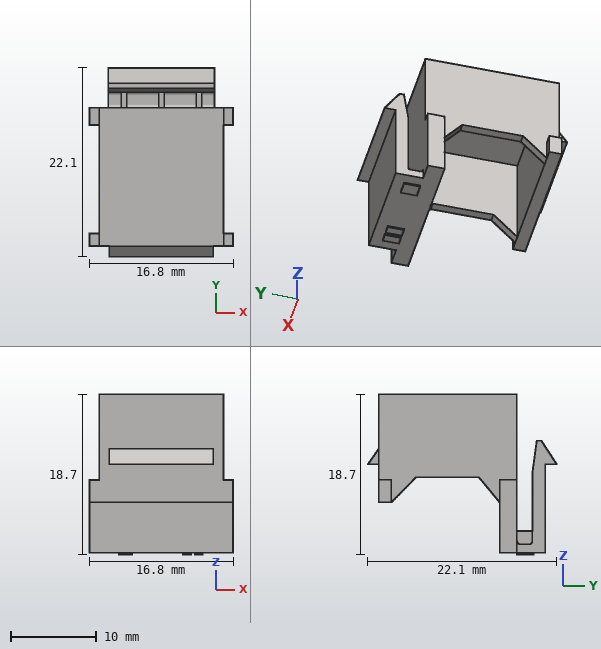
import cadquery as cq

body_width = 14.53
body_depth = 16.15
body_top = 18.52
overall_width = 16.75
shoulder_height = 8.51

front_leg_depth = 1.5
front_leg_bottom = 5.89
back_leg_depth = 2.03
arch_height = 8.82
arch_front = 4.39
arch_back = 11.69

side_wall = 1.0
roof_thickness = 1.0

catch_width = 12.15
catch_reach = 1.25
catch_bottom = 10.32
catch_top = 12.13

latch_width = 12.41
latch_reach = 4.65
arm_outer = 3.3
arm_inner = 1.8
arm_taper_start = 9.53
hook_bottom = 10.32
hook_top = 13.1
hook_top_outer = 2.85
hook_top_inner = 2.3
web_thickness = 1.01
web_fillet = 0.37

rib_width = 0.65
rib_spacing = 4.37
rib_top = 2.55

pad_height = 0.2
pad_depth = 1.96
pads = [(-4.17, 1.55), (3.0, 0.95), (4.37, 0.97)]


def extrude_profile(points, width):
    """Extrude a closed (Y, Z) outline along X, centred on X = 0."""
    return cq.Workplane("YZ").polyline(points).close().extrude(width / 2, both=True)


def block(width, x_mid, y_range, z_range):
    """Box given by its width and middle in X and its limits in Y and Z."""
    depth = y_range[1] - y_range[0]
    height = z_range[1] - z_range[0]
    return (
        cq.Workplane("XY")
        .box(width, depth, height, centered=(True, False, False))
        .translate((x_mid, y_range[0], z_range[0]))
    )


def make_body():
    back_leg_front = body_depth - back_leg_depth
    body = extrude_profile(
        [
            (0, body_top),
            (0, front_leg_bottom),
            (front_leg_depth, front_leg_bottom),
            (arch_front, arch_height),
            (arch_back, arch_height),
            (back_leg_front, front_leg_bottom),
            (back_leg_front, 0),
            (body_depth, 0),
            (body_depth, body_top),
        ],
        body_width,
    )
    front_leg = block(overall_width, 0, (0, front_leg_depth), (front_leg_bottom, shoulder_height))
    back_leg = block(overall_width, 0, (back_leg_front, body_depth), (0, shoulder_height))
    cavity = block(
        body_width - 2 * side_wall,
        0,
        (front_leg_depth, back_leg_front),
        (0, body_top - roof_thickness),
    )
    return body.union(front_leg).union(back_leg).cut(cavity)


def make_catch():
    return extrude_profile([(0, catch_bottom), (-catch_reach, catch_bottom), (0, catch_top)], catch_width)


def make_latch():
    outline = [
        (0, 0),
        (arm_outer, 0),
        (arm_outer, hook_bottom),
        (latch_reach, hook_bottom),
        (hook_top_outer, hook_top),
        (hook_top_inner, hook_top),
        (arm_inner, arm_taper_start),
        (arm_inner, web_thickness),
        (web_fillet, web_thickness),
    ]
    latch = (
        cq.Workplane("YZ")
        .polyline(outline)
        .radiusArc((0, web_thickness + web_fillet), web_fillet)
        .close()
        .extrude(latch_width / 2, both=True)
    )
    inner_corner = cq.selectors.NearestToPointSelector((0, arm_inner, web_thickness))
    latch = latch.edges("|X").edges(inner_corner).fillet(web_fillet)
    for index in (-1, 0, 1):
        latch = latch.union(block(rib_width, index * rib_spacing, (0, arm_inner), (0, rib_top)))
    for x_mid, width in pads:
        latch = latch.union(block(width, x_mid, (0, pad_depth), (-pad_height, 0)))
    return latch.translate((0, body_depth, 0))


result = make_body().union(make_catch()).union(make_latch())